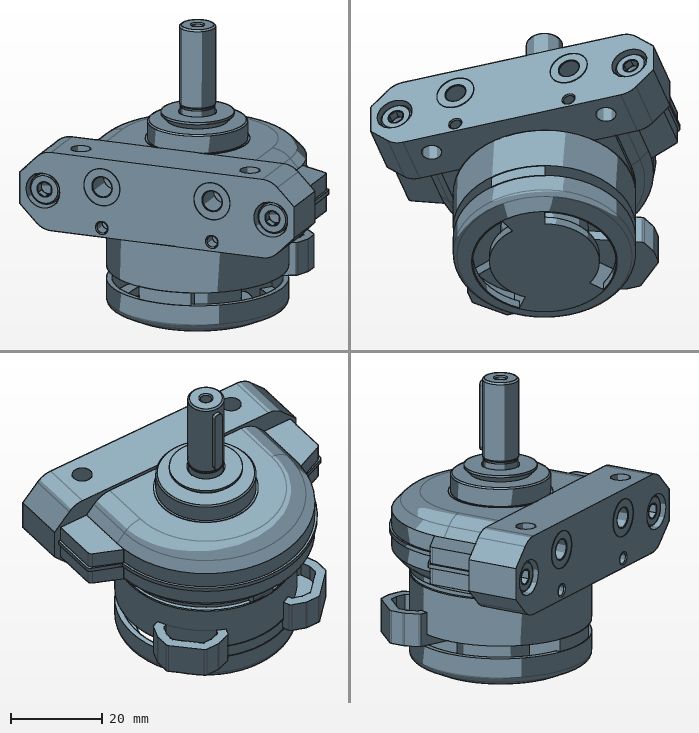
import cadquery as cq
import math

CAP_TOP = 7.15
DRUM_BOTTOM = 10.1
DRUM_TOP = 20.95
PLATE_BOTTOM = 21.9
PLATE_TOP = 40.0
HOUSING_TOP = 39.2
BOSS_TOP = 43.6
SHAFT_TOP = 65.45

HOUSING_R = 23.9
CROWN_START, CROWN_MIDDLE, CROWN_END_R = (21.9, 37.3), (19.95, 38.7), 17.7
BEVEL_R, BEVEL_BOTTOM = 22.0, 24.55
COVER_R, COVER_TOP = 19.95, 23.2
LUG_WIDTH, LUG_REACH, LUG_ROUND = 5.25, 21.7, 1.65
EAR_BOTTOM, EAR_TOP = 26.65, 35.2
EAR_HALF_WIDTH = 30.9
EAR_ROUND = 1.0
EAR_SHOULDER_Y, EAR_ROOT_Y = -0.6, 2.5
SEAM_BOTTOM, SEAM_TOP = 30.5, 31.4
SEAM_STEP = 0.5
BOSS_R = 22.0 / 2
COLLAR_R = 23.0 / 2
COLLAR_HEIGHT = 0.1
BOSS_CHAMFER = 0.3

PLATE_WIDTH = 65.0
PLATE_BACK = -11.5
PLATE_FRONT = -23.55
PLATE_CHAMFER = 5.45
PLATE_ROUND = 5.0
MOUNT_HOLE_X, MOUNT_HOLE_Y, MOUNT_HOLE_D = 20.0, -18.6, 4.4
PORT_X, PORT_Z = 13.0, 33.45
PORT_D, PORT_MOUTH_D, PORT_DEPTH = 4.5, 5.1, 6.55
PORT_FACE_D, PORT_FACE_DEPTH = 8.5, 0.1
PIN_HOLE_Z = 24.1
PIN_HOLE_D, PIN_HOLE_MOUTH_D, PIN_HOLE_DEPTH = 2.5, 3.0, 3.3
TAB_WIDTH, TAB_R = 13.6, 18.65

SCREW_X, SCREW_Z = 27.0, 30.95
SCREW_HEAD_D, SCREW_HEAD_HEIGHT, SCREW_HEAD_CHAMFER = 7.0, 3.9, 0.3
SCREW_SHANK_D, SCREW_DEPTH_IN_EAR = 4.1, 5.25
SCREW_SINK = 0.85
COUNTERBORE_D = 8.0
SOCKET_HEX, SOCKET_MOUTH_D, SOCKET_DEPTH, SOCKET_MOUTH_DEPTH = 3.1, 3.55, 1.95, 0.1
SOCKET_TIP_DEPTH = 0.85


DRUM_R = 40.0 / 2
DRUM_CHAMFER = 0.2
RING_INNER_R = 37.5 / 2
CAP_FLOOR = 2.0
CAP_OPENING_R = 15.7
CAP_BEVEL_R, CAP_BEVEL_TOP_R, CAP_BEVEL_TOP, CAP_SIDE_BOTTOM = 16.0, 19.2, 1.5, 2.75
CAP_ROUND_MIDDLE = (19.8, 1.95)
HUB_R = 9.6
HUB_DISC_R = 12.05
WEB_R = 19.85
FRONT_WEB_HALF_ANGLE = 18.0
REAR_WEB_HALF_ANGLE = 38.0
ARM_BOTTOM, ARM_TOP = 7.6, 15.1
ARM_ANGLE, ARM_HALF_ANGLE = 45.0, 22.5
LOBE_ROOT_R, LOBE_CORNER_R = 9.15, 21.8
LOBE_SIDE, LOBE_TIP = (-21.4, 11.85), (-21.4, 15.3)
LOBE_ROUND = 0.8
LOBE_WALL = 2.15
LOBE_FLOOR = 11.45

SHAFT_R = 8.0 / 2
SHAFT_CHAMFER = 0.4
SHOULDER_Z = 47.1
SHOULDER_CHAMFER = 0.3
GROOVE_R, NECK_R = 7.5 / 2, 7.65 / 2
GROOVE_BOTTOM = 46.75
SEAL_R, SEAL_BASE_R = 8.05, 6.75
SEAL_MOUTH_R, SEAL_MOUTH_BOTTOM = 4.2, 44.85
SEAL_TOP, SEAL_RIM_BOTTOM = 45.5, 45.0
CENTRE_HOLE_D, CENTRE_HOLE_DEPTH, CENTRE_TIP_DEPTH = 2.5, 3.9, 0.7
CENTRE_MOUTH_D = 3.1
KEY_BOTTOM, KEY_TOP, KEY_WIDTH, KEY_REACH = 48.05, 64.1, 2.0, 4.8


def cylinder(radius, bottom, top):
    return cq.Workplane("XY", origin=(0, 0, bottom)).circle(radius).extrude(top - bottom)


def polar(radius, angle):
    """Point at a radius and an angle in degrees from +X."""
    turn = math.radians(angle)
    return (radius * math.cos(turn), radius * math.sin(turn))


def sector(radius, middle_angle, half_angle, bottom, top):
    """Pie slice around the shaft axis, with its middle at the given angle from +X."""
    return (
        cq.Workplane("XY", origin=(0, 0, bottom))
        .lineTo(*polar(radius, middle_angle - half_angle))
        .threePointArc(polar(radius, middle_angle), polar(radius, middle_angle + half_angle))
        .close()
        .extrude(top - bottom)
    )


def front_bore(x, z, diameter, depth, front=PLATE_FRONT):
    """Cylinder that runs from a front plane back along +Y."""
    return cq.Workplane("XZ", origin=(x, front, z)).circle(diameter / 2).extrude(-depth)


def countersunk_bore(x, z, diameter, mouth_diameter, depth):
    """Front bore with a 45 degree countersink at its mouth."""
    radius, mouth = diameter / 2, mouth_diameter / 2
    return (
        cq.Workplane("XY")
        .polyline([(0, 0), (mouth, 0), (radius, mouth - radius), (radius, depth), (0, depth)])
        .close()
        .revolve(360, (0, 0, 0), (0, 1, 0))
        .translate((x, PLATE_FRONT, z))
    )


def housing_half_section(plane):
    """Half of the rounded cross-section, from the axis out to the side wall."""
    return (
        plane.moveTo(0, PLATE_BOTTOM)
        .lineTo(COVER_R, PLATE_BOTTOM)
        .lineTo(COVER_R, COVER_TOP)
        .lineTo(BEVEL_R, BEVEL_BOTTOM)
        .lineTo(HOUSING_R, EAR_BOTTOM)
        .lineTo(HOUSING_R, EAR_TOP)
        .lineTo(*CROWN_START)
        .threePointArc(CROWN_MIDDLE, (CROWN_END_R, HOUSING_TOP))
        .lineTo(0, HOUSING_TOP)
        .close()
    )


def make_ears(margin, bottom, top):
    """Slab through both ears; the margin widens it for the seam rib."""
    side = EAR_HALF_WIDTH + margin
    shoulder_y = EAR_SHOULDER_Y + margin / 2
    root_y = EAR_ROOT_Y + margin / 2
    reach = EAR_ROUND / 2
    shoulder_edges = cq.selectors.BoxSelector(
        (-side - reach, shoulder_y - reach, bottom), (side + reach, shoulder_y + reach, top)
    )
    return (
        cq.Workplane("XY", origin=(0, 0, bottom))
        .polyline([
            (-side, PLATE_BACK), (side, PLATE_BACK), (side, shoulder_y),
            (HOUSING_R, root_y), (-HOUSING_R, root_y), (-side, shoulder_y),
        ])
        .close()
        .extrude(top - bottom)
        .edges(shoulder_edges)
        .fillet(EAR_ROUND)
    )


def make_rear_lug():
    """Small rounded block under the bevel at the back of the bottom cover."""
    return (
        cq.Workplane("XY", origin=(0, LUG_REACH / 2, PLATE_BOTTOM))
        .rect(LUG_WIDTH, LUG_REACH)
        .extrude(BEVEL_BOTTOM - PLATE_BOTTOM)
        .edges(">Y and <Z")
        .fillet(LUG_ROUND)
    )


def make_gear_case():
    dome = housing_half_section(cq.Workplane("XZ")).revolve(180, (0, 0, 0), (0, 1, 0))
    straight = housing_half_section(cq.Workplane("XZ")).extrude(-PLATE_BACK)
    case = dome.union(straight).union(straight.mirror("YZ"))
    case = case.union(make_ears(0, EAR_BOTTOM, EAR_TOP))
    case = case.union(make_ears(SEAM_STEP, SEAM_BOTTOM, SEAM_TOP))
    seam = sector(HOUSING_R + SEAM_STEP, 90, 90, SEAM_BOTTOM, SEAM_TOP)
    case = case.union(seam)
    boss = cylinder(BOSS_R, HOUSING_TOP, BOSS_TOP).faces(">Z").chamfer(BOSS_CHAMFER)
    collar = cylinder(COLLAR_R, HOUSING_TOP, HOUSING_TOP + COLLAR_HEIGHT)
    return case.union(collar).union(boss).union(make_rear_lug())


def make_lobe():
    """Hollow lobe on the -X, +Y side, symmetric about the diagonal through the axis."""
    side_angle = 180 - ARM_ANGLE + ARM_HALF_ANGLE
    half = [polar(LOBE_ROOT_R, side_angle), polar(LOBE_CORNER_R, side_angle), LOBE_SIDE, LOBE_TIP]
    outline = half + [(-y, -x) for x, y in reversed(half)]
    lobe = (
        cq.Workplane("XY", origin=(0, 0, ARM_BOTTOM))
        .polyline(outline)
        .close()
        .extrude(ARM_TOP - ARM_BOTTOM)
        .edges("|Z")
        .fillet(LOBE_ROUND)
    )
    pocket = (
        cq.Workplane("XY", origin=(0, 0, LOBE_FLOOR))
        .polyline(outline)
        .close()
        .offset2D(-LOBE_WALL)
        .extrude(ARM_TOP - LOBE_FLOOR)
        .cut(cylinder(DRUM_R, ARM_BOTTOM, ARM_TOP))
    )
    return lobe.cut(pocket)


def make_stop_blank():
    """Solid of revolution with the outline of neck, drum and bevelled cap."""
    return (
        cq.Workplane("XZ")
        .lineTo(CAP_BEVEL_R, 0)
        .lineTo(CAP_BEVEL_TOP_R, CAP_BEVEL_TOP)
        .threePointArc(CAP_ROUND_MIDDLE, (DRUM_R, CAP_SIDE_BOTTOM))
        .lineTo(DRUM_R, DRUM_TOP - DRUM_CHAMFER)
        .lineTo(DRUM_R - DRUM_CHAMFER, DRUM_TOP)
        .lineTo(BOSS_R, DRUM_TOP)
        .lineTo(BOSS_R, PLATE_BOTTOM)
        .lineTo(0, PLATE_BOTTOM)
        .close()
        .revolve(360, (0, 0, 0), (0, 1, 0))
    )


def make_cavity(start, end, top):
    """Open space between hub and cap ring, with the groove above the ring, over a range of angles."""
    middle, half = (start + end) / 2, (end - start) / 2
    groove = sector(2 * DRUM_R, middle, half, CAP_TOP, top)
    chamber = sector(RING_INNER_R, middle, half, CAP_FLOOR, top)
    cavity = groove.union(chamber).cut(cylinder(HUB_R, 0, top))
    opening = sector(CAP_OPENING_R, middle, half, 0, CAP_FLOOR)
    return cavity.union(opening.cut(cylinder(HUB_DISC_R, 0, CAP_FLOOR)))


def make_stop_unit():
    arm_start = ARM_ANGLE - ARM_HALF_ANGLE
    beside_arm = make_cavity(FRONT_WEB_HALF_ANGLE - 90, arm_start, DRUM_BOTTOM)
    below_arm = make_cavity(arm_start, 90 - REAR_WEB_HALF_ANGLE, ARM_BOTTOM)
    lobe = make_lobe()
    web_step = cylinder(DRUM_R, CAP_TOP, DRUM_BOTTOM).cut(cylinder(WEB_R, CAP_TOP, DRUM_BOTTOM))
    unit = make_stop_blank().cut(web_step)
    for cavity in (beside_arm, below_arm):
        unit = unit.cut(cavity).cut(cavity.mirror("YZ"))
    return unit.union(lobe).union(lobe.mirror("YZ"))


def make_housing():
    housing = make_gear_case().union(make_stop_unit())
    for side in (-1, 1):
        housing = housing.cut(
            front_bore(side * SCREW_X, SCREW_Z, SCREW_SHANK_D, SCREW_DEPTH_IN_EAR, PLATE_BACK)
        )
    return housing


def make_plate():
    height = PLATE_TOP - PLATE_BOTTOM
    depth = PLATE_BACK - PLATE_FRONT
    plate = (
        cq.Workplane("XY")
        .box(PLATE_WIDTH, depth, height)
        .translate((0, (PLATE_BACK + PLATE_FRONT) / 2, (PLATE_TOP + PLATE_BOTTOM) / 2))
        .edges("|Y")
        .chamfer(PLATE_CHAMFER)
        .edges("|Y and (>Z or <Z)")
        .fillet(PLATE_ROUND)
    )
    tab = (
        cq.Workplane("XY", origin=(0, PLATE_BACK - TAB_R / 2, DRUM_TOP))
        .rect(TAB_WIDTH, TAB_R)
        .extrude(PLATE_BOTTOM - DRUM_TOP)
        .intersect(cylinder(TAB_R, DRUM_TOP, PLATE_BOTTOM))
    )
    plate = plate.union(tab)
    for side in (-1, 1):
        mount_hole = cylinder(MOUNT_HOLE_D / 2, PLATE_BOTTOM, PLATE_TOP)
        plate = plate.cut(mount_hole.translate((side * MOUNT_HOLE_X, MOUNT_HOLE_Y, 0)))
        plate = plate.cut(front_bore(side * PORT_X, PORT_Z, PORT_FACE_D, PORT_FACE_DEPTH))
        plate = plate.cut(countersunk_bore(side * PORT_X, PORT_Z, PORT_D, PORT_MOUTH_D, PORT_DEPTH))
        plate = plate.cut(
            countersunk_bore(side * PORT_X, PIN_HOLE_Z, PIN_HOLE_D, PIN_HOLE_MOUTH_D, PIN_HOLE_DEPTH)
        )
        counterbore_depth = SCREW_SINK + SCREW_HEAD_HEIGHT
        plate = plate.cut(front_bore(side * SCREW_X, SCREW_Z, COUNTERBORE_D, counterbore_depth))
        plate = plate.cut(front_bore(side * SCREW_X, SCREW_Z, SCREW_SHANK_D, depth))
    return plate


def make_screw(x):
    head_front = PLATE_FRONT + SCREW_SINK
    length = PLATE_BACK + SCREW_DEPTH_IN_EAR - head_front
    head = front_bore(x, SCREW_Z, SCREW_HEAD_D, SCREW_HEAD_HEIGHT, head_front)
    screw = head.faces("<Y").chamfer(SCREW_HEAD_CHAMFER)
    screw = screw.union(front_bore(x, SCREW_Z, SCREW_SHANK_D, length, head_front))
    socket = (
        cq.Workplane("XZ", origin=(x, head_front, SCREW_Z))
        .polygon(6, SOCKET_HEX, circumscribed=True)
        .extrude(-SOCKET_DEPTH)
    )
    socket_tip = cq.Workplane(
        cq.Solid.makeCone(
            SOCKET_HEX / 2,
            0,
            SOCKET_TIP_DEPTH,
            cq.Vector(x, head_front + SOCKET_DEPTH, SCREW_Z),
            cq.Vector(0, 1, 0),
        )
    )
    socket_mouth = front_bore(x, SCREW_Z, SOCKET_MOUTH_D, SOCKET_MOUTH_DEPTH, head_front)
    return screw.cut(socket).cut(socket_tip).cut(socket_mouth)


def make_shaft():
    shaft = (
        cq.Workplane("XZ")
        .moveTo(0, BOSS_TOP)
        .lineTo(SEAL_BASE_R, BOSS_TOP)
        .lineTo(SEAL_R, SEAL_RIM_BOTTOM)
        .lineTo(SEAL_R, SEAL_TOP)
        .lineTo(SEAL_MOUTH_R, SEAL_TOP)
        .lineTo(NECK_R, SEAL_MOUTH_BOTTOM)
        .lineTo(NECK_R, GROOVE_BOTTOM)
        .lineTo(GROOVE_R, GROOVE_BOTTOM)
        .lineTo(GROOVE_R, SHOULDER_Z)
        .lineTo(SHAFT_R - SHOULDER_CHAMFER / 2, SHOULDER_Z)
        .lineTo(SHAFT_R, SHOULDER_Z + SHOULDER_CHAMFER)
        .lineTo(SHAFT_R, SHAFT_TOP - SHAFT_CHAMFER)
        .lineTo(SHAFT_R - SHAFT_CHAMFER, SHAFT_TOP)
        .lineTo(0, SHAFT_TOP)
        .close()
        .revolve(360, (0, 0, 0), (0, 1, 0))
    )
    key = (
        cq.Workplane("XZ", origin=(0, 0, (KEY_BOTTOM + KEY_TOP) / 2))
        .slot2D(KEY_TOP - KEY_BOTTOM, KEY_WIDTH, 90)
        .extrude(-KEY_REACH)
    )
    shaft = shaft.union(key)
    hole_bottom = SHAFT_TOP - CENTRE_HOLE_DEPTH
    centre_hole = cylinder(CENTRE_HOLE_D / 2, hole_bottom, SHAFT_TOP)
    hole_tip = cq.Solid.makeCone(
        CENTRE_HOLE_D / 2, 0, CENTRE_TIP_DEPTH, cq.Vector(0, 0, hole_bottom), cq.Vector(0, 0, -1)
    )
    mouth_depth = (CENTRE_MOUTH_D - CENTRE_HOLE_D) / 2
    hole_mouth = cq.Solid.makeCone(
        CENTRE_MOUTH_D / 2, CENTRE_HOLE_D / 2, mouth_depth, cq.Vector(0, 0, SHAFT_TOP), cq.Vector(0, 0, -1)
    )
    return shaft.cut(centre_hole).cut(cq.Workplane(hole_mouth)).cut(cq.Workplane(hole_tip))



housing = make_housing()
plate = make_plate()
shaft = make_shaft()
screws = [make_screw(side * SCREW_X) for side in (-1, 1)]

result = cq.Compound.makeCompound(
    [housing.val(), plate.val(), shaft.val()] + [screw.val() for screw in screws]
)